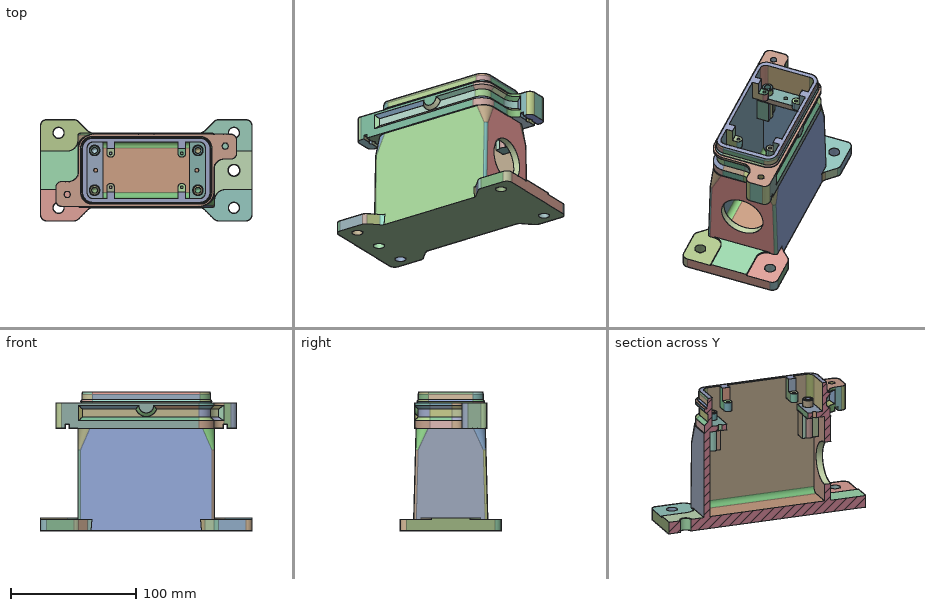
import cadquery as cq
import math


SIDES = (-1, 1)
CORNERS = [(sx, sy) for sx in SIDES for sy in SIDES]
HALF_TURN = (0, 180)

body_top = 81.8
corner_blend_start = 64.7
flange_top = 102.2
rim_top = 111.0

base_half_x = 84.5
base_half_y = 81.0 / 2
foot_height = 9.1
strip_height = 10.3
strip_half_y = 15.4
strip_flare = 8.5
foot_corner = 5
foot_slope_start = 55.6
foot_slope_fillet = 7.8
foot_flank_inset = 0.5
foot_hole_x = 70.0
foot_hole_y = 29.9
foot_hole_dia = 8.6
earth_hole_dia = 9.0
earth_hole_chamfer = 0.3

body_half_x = 54.6
body_bottom_y, body_top_y = 29.9, 27.7
body_corner = 2.2
body_top_corner = 9.6

flange_half_x = 54
flange_half_y = 28.9
flange_corner = 12.2
ear_end_x = 72.2
ear_inner_y = 9.0
ear_fillet = 8.1
ear_corner = 4.7
ear_hole_x, ear_hole_y = 63.0, 19.3
ear_hole_dia = 4.9
notch_width = 2.9
notch_depth = 3.2

groove_bottom, groove_top = 88.0, 100.0
groove_depth = 2.9
groove_start_x = 53.9
groove_end_x = 61.9
groove_end_run, groove_end_rise = 4.2, 2.0
latch_stud_radius = 5.9

rim_half_x, rim_half_y = 51.4, 26.0
rim_corner = 8.5
rim_edge_height, rim_edge_inset = 2.0, 0.5
lip_top, lip_crest = 104.8, 103.3
lip_overhang = 1.0
lip_undercut = 0.5

opening_half_x, opening_half_y = 47.2, 22.6
opening_corner = 4.7
chamber_half_x = 49
floor_half_y = 22.3
floor_height = 10.5
floor_fillet = 4.5
entry_height = 42.2
entry_dia = 35.5

ledge_inner_x = 34.6
ledge_top = 86.9
leg_setback = 0.5
leg_inner_y = 12.7
leg_bottom = 60.8
boss_x, boss_y = 41.2, 15.9
boss_dia = 8.5
boss_top = 93
boss_chamfer = 0.5
screw_dia = 4.7
screw_depth = 10.1
ledge_hole_x = 40.4
ledge_hole_dia = 3.0

finger_x = 28.4
finger_width = 6.3
finger_bottom = 93.1
finger_step = 100.4
finger_post_y = 17.4
finger_tip_y = 10.5
finger_hole_y = 13.5
finger_hole_dia = 2.2
finger_hole_depth = 3.4

overlap = 0.8


def rounded_block(half_x, half_y, corner, bottom, top):
    """Upright block with rounded vertical edges."""
    block = cq.Workplane("XY").workplane(offset=bottom).rect(2 * half_x, 2 * half_y)
    return block.extrude(top - bottom).edges("|Z").fillet(corner)


def rounded_section(half_x, half_y, corner, height):
    """Closed wire of a rounded rectangle lying at the given height."""
    slab = rounded_block(half_x, half_y, corner, height, height + 1.7)
    return slab.faces("<Z").val().outerWire()


def tapered_block(*sections):
    """Straight-sided transition through rounded sections (half_x, half_y, corner, height)."""
    wires = [rounded_section(*section) for section in sections]
    return cq.Workplane(obj=cq.Solid.makeLoft(wires, True))


def box(x0, x1, y0, y1, z0, z1):
    """Block between the given coordinate limits."""
    return cq.Workplane("XY").box(x1 - x0, y1 - y0, z1 - z0, centered=False).translate((x0, y0, z0))


def post(x, y, diameter, bottom, top):
    """Upright cylinder."""
    return cq.Workplane("XY", origin=(x, y, bottom)).circle(diameter / 2).extrude(top - bottom)


def turned(shape, angle):
    """Shape turned about the vertical axis."""
    return shape.rotate((0, 0, 0), (0, 0, 1), angle)


def make_body():
    """Tapered body whose corner rounding opens out just below the flange."""
    lean = (body_bottom_y - body_top_y) / body_top
    blend_y = body_bottom_y - lean * corner_blend_start
    blend = (body_half_x, blend_y, body_corner, corner_blend_start)
    lower = tapered_block((body_half_x, body_bottom_y, body_corner, 0), blend)
    upper = tapered_block(blend, (body_half_x, body_top_y, body_top_corner, body_top))
    return lower.union(upper)


def edges_between(x0, x1):
    """Selector for the vertical edges of the foot that lie from x0 to x1."""
    margin = 0.8
    low = (x0 - margin, -base_half_y - margin, 0)
    high = (x1 + margin, base_half_y + margin, foot_height)
    return cq.selectors.BoxSelector(low, high)


def make_foot():
    """Foot at the +X end, with 45 degree flanks running into the body sides."""
    flank_y = body_bottom_y - foot_flank_inset
    slope_end = foot_slope_start - (base_half_y - flank_y)
    tip = slope_end - foot_slope_fillet * math.tan(math.pi / 8) - overlap
    half = [
        (base_half_x, base_half_y),
        (foot_slope_start, base_half_y),
        (slope_end, flank_y),
        (tip, flank_y),
    ]
    outline = half + [(x, -y) for x, y in reversed(half)]
    foot = cq.Workplane("XY").polyline(outline).close().extrude(foot_height)
    foot = foot.edges("|Z").edges(edges_between(foot_slope_start, base_half_x)).fillet(foot_corner)
    foot = foot.edges("|Z").edges(edges_between(slope_end, slope_end)).fillet(foot_slope_fillet)

    flare_end = strip_half_y + strip_flare
    flare_x = body_half_x
    flare_start = flare_x + strip_flare
    diagonal = strip_flare * math.sqrt(0.5)
    strip = (
        cq.Workplane("XY")
        .moveTo(base_half_x, -strip_half_y)
        .lineTo(base_half_x, strip_half_y)
        .lineTo(flare_start, strip_half_y)
        .threePointArc((flare_start - diagonal, flare_end - diagonal), (flare_x, flare_end))
        .lineTo(flare_x, -flare_end)
        .threePointArc((flare_start - diagonal, diagonal - flare_end), (flare_start, -strip_half_y))
        .close()
        .extrude(strip_height)
    )
    return foot.union(strip)


def drill_feet(part):
    """Four fixing holes and the countersunk earth hole in the +X strip."""
    for sx, sy in CORNERS:
        part = part.cut(post(sx * foot_hole_x, sy * foot_hole_y, foot_hole_dia, -overlap, strip_height))
    earth_hole = post(foot_hole_x, 0, earth_hole_dia, -overlap, strip_height + overlap)
    countersink = (
        cq.Workplane("XY", origin=(foot_hole_x, 0, strip_height))
        .circle(earth_hole_dia / 2 + earth_hole_chamfer)
        .workplane(offset=-earth_hole_chamfer)
        .circle(earth_hole_dia / 2)
        .loft()
    )
    return part.cut(earth_hole).cut(countersink)


def make_groove():
    """Latch groove along the -Y side, around the +X corner and up to the +X ear."""
    corner_x = flange_half_x - flange_corner
    corner_y = flange_corner - flange_half_y
    corner_diagonal = flange_corner * math.sqrt(0.5)
    fillet_x = flange_half_x + ear_fillet
    fillet_y = ear_inner_y - ear_fillet
    fillet_diagonal = ear_fillet * math.sqrt(0.5)
    start_x = -groove_start_x - groove_depth
    path = (
        cq.Workplane("XY")
        .moveTo(start_x, -flange_half_y)
        .lineTo(corner_x, -flange_half_y)
        .threePointArc(
            (corner_x + corner_diagonal, corner_y - corner_diagonal), (flange_half_x, corner_y)
        )
        .lineTo(flange_half_x, fillet_y)
        .threePointArc(
            (fillet_x - fillet_diagonal, fillet_y + fillet_diagonal), (fillet_x, ear_inner_y)
        )
        .lineTo(fillet_x + 1.7, ear_inner_y)
    )
    profile = [
        (-flange_half_y - overlap, groove_bottom),
        (-flange_half_y, groove_bottom),
        (-flange_half_y + groove_depth, groove_bottom + groove_depth),
        (-flange_half_y + groove_depth, groove_top - groove_depth),
        (-flange_half_y, groove_top),
        (-flange_half_y - overlap, groove_top),
    ]
    channel = cq.Workplane("YZ", origin=(start_x, 0, 0)).polyline(profile).close().sweep(path)

    def end_point(steps):
        return groove_end_x - steps * groove_end_run, ear_inner_y + steps * groove_end_rise

    outer_reach, inner_reach = 5, 11.8
    inward_steps, outward_steps = 2.5, -7
    outer_y = -flange_half_y - outer_reach
    end_outside = end_point(outward_steps)
    keep = (
        cq.Workplane("XY")
        .polyline([
            (-groove_start_x - outer_reach, outer_y),
            (-groove_start_x + inner_reach, -flange_half_y + inner_reach),
            end_point(inward_steps),
            end_outside,
            (end_outside[0], outer_y),
        ])
        .close()
        .extrude(rim_top)
    )
    stud = (
        cq.Workplane("XZ", origin=(0, -flange_half_y, groove_top))
        .circle(latch_stud_radius)
        .workplane(offset=-groove_depth)
        .circle(latch_stud_radius + groove_depth)
        .loft()
    )
    return channel.intersect(keep).cut(stud)


def make_flange():
    """Flange with two opposite ears, each drilled and notched underneath, and latch grooves."""
    flange = rounded_block(flange_half_x, flange_half_y, flange_corner, body_top, flange_top)
    ear = box(0, ear_end_x, ear_inner_y, flange_half_y, body_top, flange_top)
    ear = ear.edges("|Z and >X").fillet(ear_corner)
    fillet_end = flange_half_x + ear_fillet
    fillet_y = ear_inner_y - ear_fillet
    web = box(flange_half_x - overlap, fillet_end, fillet_y, ear_inner_y, body_top, flange_top)
    web = web.cut(post(fillet_end, fillet_y, 2 * ear_fillet, body_top, flange_top))
    ear = ear.union(web)
    for angle in HALF_TURN:
        flange = flange.union(turned(ear, angle))

    hole = post(ear_hole_x, ear_hole_y, ear_hole_dia, body_top, flange_top)
    notch = box(
        ear_hole_x - notch_width / 2, ear_hole_x + notch_width / 2,
        0, flange_half_y + overlap, body_top - overlap, body_top + notch_depth,
    )
    groove = make_groove()
    for angle in HALF_TURN:
        for cutter in (hole, notch, groove):
            flange = flange.cut(turned(cutter, angle))
    return flange


def make_rim():
    """Rim with a bevelled top edge and a pointed sealing lip at its foot."""
    def section(grow, height):
        return rim_half_x + grow, rim_half_y + grow, rim_corner + grow, height

    edge_start = rim_top - rim_edge_height
    wall = tapered_block(section(0, flange_top), section(0, edge_start))
    edge = tapered_block(section(0, edge_start), section(-rim_edge_inset, rim_top))
    lip_under = tapered_block(section(lip_undercut, flange_top), section(lip_overhang, lip_crest))
    lip_over = tapered_block(section(lip_overhang, lip_crest), section(0, lip_top))
    return wall.union(edge).union(lip_under).union(lip_over)


def make_cavity():
    """Opening from the rim, lengthening into a chamber with a rounded floor; the walls taper down."""
    wall_slope = (opening_half_y - floor_half_y) / (rim_top - floor_height)
    chamber_half_y = floor_half_y + wall_slope * (body_top - floor_height)
    opening = tapered_block(
        (opening_half_x, chamber_half_y, opening_corner, body_top),
        (opening_half_x, opening_half_y, opening_corner, rim_top),
    )
    section = [
        (-floor_half_y, floor_height),
        (floor_half_y, floor_height),
        (chamber_half_y, body_top),
        (-chamber_half_y, body_top),
    ]
    chamber = cq.Workplane("YZ").polyline(section).close().extrude(chamber_half_x, both=True)
    chamber = chamber.edges("|X and <Z").fillet(floor_fillet)
    return opening.union(chamber)


def make_supports():
    """Ledge at the +X end with corner legs and two screw bosses."""
    wall_x = opening_half_x + overlap
    wall_y = opening_half_y + overlap
    support = box(ledge_inner_x, wall_x, -wall_y, wall_y, body_top, ledge_top)
    for side in SIDES:
        y_limits = sorted((side * leg_inner_y, side * wall_y))
        leg = box(ledge_inner_x + leg_setback, chamber_half_x + overlap, *y_limits, leg_bottom, body_top)
        boss = post(boss_x, side * boss_y, boss_dia, leg_bottom, boss_top).faces(">Z").chamfer(boss_chamfer)
        support = support.union(leg).union(boss)
    for side in SIDES:
        bore = post(boss_x, side * boss_y, screw_dia, boss_top - screw_depth, boss_top)
        drill_tip = cq.Solid.makeCone(
            screw_dia / 2, 0, screw_dia / 2,
            pnt=cq.Vector(boss_x, side * boss_y, boss_top - screw_depth), dir=cq.Vector(0, 0, -1),
        )
        support = support.cut(bore).cut(cq.Workplane(obj=drill_tip))
    return support.cut(post(ledge_hole_x, 0, ledge_hole_dia, body_top, ledge_top))


def make_finger():
    """Guide finger on the +Y wall: a tall post with a lower rounded pad drilled from above."""
    x0 = finger_x - finger_width / 2
    x1 = finger_x + finger_width / 2
    tip_centre = finger_tip_y + finger_width / 2
    wall_y = opening_half_y + overlap
    upright = box(x0, x1, finger_post_y, wall_y, finger_bottom, rim_top)
    pad = box(x0, x1, tip_centre, wall_y, finger_bottom, finger_step)
    pad = pad.union(post(finger_x, tip_centre, finger_width, finger_bottom, finger_step))
    hole = post(finger_x, finger_hole_y, finger_hole_dia, finger_step - finger_hole_depth, finger_step)
    return upright.union(pad).cut(hole)


result = make_body().union(make_flange()).union(make_rim())
foot = make_foot()
for angle in HALF_TURN:
    result = result.union(turned(foot, angle))
result = drill_feet(result).cut(make_cavity())

cable_entry = cq.Workplane("YZ", origin=(-body_half_x - overlap, 0, entry_height)).circle(entry_dia / 2)
result = result.cut(cable_entry.extrude(body_half_x - ledge_inner_x))

supports = make_supports()
finger = make_finger()
for angle in HALF_TURN:
    result = result.union(turned(supports, angle))
fingers = finger.union(finger.mirror("YZ"))
for angle in HALF_TURN:
    result = result.union(turned(fingers, angle))